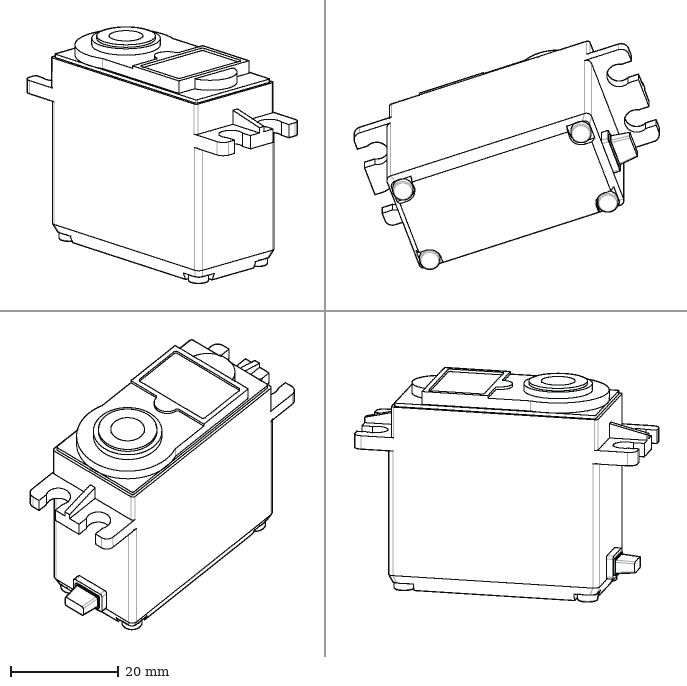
import cadquery as cq
import math

flange_length = 54.3
body_width = 20.0
total_height = 39.9

taper_top = 3.0
flange_bottom = 27.05
flange_top = 29.65
housing_top = 35.55
lid_top = 36.2
deck_top = 38.2
label_top = 38.65
collar_top = 39.4

case_length = 40.5
case_center_x = 0.25
case_corner_radius = 1.05
taper_inset = 1.25

housing_length = 39.75
housing_corner_radius = 0.55
lid_setback = 0.55
lid_corner_radius = 0.25

flange_corner_radius = 1.5
screw_hole_x = 24.0
screw_hole_y = 4.95
screw_hole_radius = 2.3
screw_slot_width = 4.0
rib_width = 1.2
rib_height_at_body = 2.75
rib_height_at_tip = 1.05

boss_x = -9.9
boss_radius = 9.55
deck_width = 18.05
deck_end_x = 14.1
collar_radius = 6.4
rim_radius = 5.5
bore_radius = 3.15
bore_depth = 2 * bore_radius
end_bump_x = 13.05
end_bump_radius = 5.05

label_start_x = 1.45
label_tab_x = 1.4
label_tab_radius = 2.45
label_tab_fillet = 0.45
label_border = 1.0
label_recess_corner_radius = 0.5

outlet_width = 7.05
outlet_bottom = 3.05
outlet_height = 4.45
outlet_corner_radius = 0.5
outlet_face_x = -21.3
lip_thickness = 0.25
lip_width = 5.75
lip_height = 3.15
plug_root_width = 5.25
plug_root_height = 2.6
plug_tip_width = 4.45
plug_tip_height = 2.15
plug_tip_x = -25.15
plug_corner_radius = 0.3

screw_spacing_x = 35.3
screw_spacing_y = 15.1
screw_head_radius = 1.9
screw_head_height = 1.4
screw_head_fillet = 0.2
screw_pocket_radius = 2.2


def rounded_block(length, width, bottom, top, corner_radius, center_x=0.0):
    """Upright block with rounded vertical edges."""
    block = cq.Workplane("XY", origin=(center_x, 0, bottom)).rect(length, width).extrude(top - bottom)
    return block.edges("|Z").fillet(corner_radius)


def cylinder(x, y, bottom, top, radius):
    return cq.Workplane("XY", origin=(x, y, bottom)).circle(radius).extrude(top - bottom)


def outlet_plane(x):
    """Plane facing -X, centred on the cable outlet."""
    outlet_center_z = outlet_bottom + outlet_height / 2
    return cq.Workplane(cq.Plane((x, 0, outlet_center_z), (0, -1, 0), (-1, 0, 0)))


def lower_case():
    case = rounded_block(case_length, body_width, taper_top, flange_bottom, case_corner_radius, case_center_x)
    bottom_length = case_length - 2 * taper_inset
    bottom_width = body_width - 2 * taper_inset
    bottom_outline = cq.Sketch().rect(bottom_length, bottom_width).vertices().fillet(case_corner_radius)
    top_outline = cq.Sketch().rect(case_length, body_width).vertices().fillet(case_corner_radius)
    taper = (
        cq.Workplane("XY", origin=(case_center_x, 0, 0))
        .placeSketch(bottom_outline, top_outline.moved(cq.Location(cq.Vector(0, 0, taper_top))))
        .loft()
    )
    return case.union(taper)


def upper_housing():
    housing = rounded_block(housing_length, body_width, flange_bottom, housing_top, housing_corner_radius)
    lid_length = housing_length - 2 * lid_setback
    lid_width = body_width - 2 * lid_setback
    lid = rounded_block(lid_length, lid_width, housing_top, lid_top, lid_corner_radius)
    return housing.union(lid)


def flange():
    plate = rounded_block(flange_length, body_width, flange_bottom, flange_top, flange_corner_radius)
    tip_x = flange_length / 2
    slot_length = tip_x - screw_hole_x
    for side_x in (-1, 1):
        for side_y in (-1, 1):
            hole_y = side_y * screw_hole_y
            hole = cylinder(side_x * screw_hole_x, hole_y, flange_bottom, flange_top, screw_hole_radius)
            slot_center_x = side_x * (screw_hole_x + slot_length / 2)
            slot = (
                cq.Workplane("XY", origin=(slot_center_x, hole_y, flange_bottom))
                .rect(slot_length, screw_slot_width)
                .extrude(flange_top - flange_bottom)
            )
            plate = plate.cut(hole).cut(slot)
    rib = (
        cq.Workplane("XZ")
        .moveTo(-tip_x, flange_top)
        .lineTo(-tip_x, flange_top + rib_height_at_tip)
        .lineTo(-housing_length / 2, flange_top + rib_height_at_body)
        .lineTo(housing_length / 2, flange_top + rib_height_at_body)
        .lineTo(tip_x, flange_top + rib_height_at_tip)
        .lineTo(tip_x, flange_top)
        .close()
        .extrude(rib_width / 2, both=True)
    )
    return plate.union(rib)


def deck():
    height = deck_top - lid_top
    slab = (
        cq.Workplane("XY", origin=((boss_x + deck_end_x) / 2, 0, lid_top))
        .rect(deck_end_x - boss_x, deck_width)
        .extrude(height)
    )
    boss = cylinder(boss_x, 0, lid_top, deck_top, boss_radius)
    end_bump = cylinder(end_bump_x, 0, lid_top, deck_top, end_bump_radius)
    collar = cylinder(boss_x, 0, deck_top, collar_top, collar_radius)
    rim = cylinder(boss_x, 0, collar_top, total_height, rim_radius)
    return slab.union(boss).union(end_bump).union(collar).union(rim)


def label_panel():
    height = label_top - deck_top
    label_length = deck_end_x - label_start_x
    label_center_x = (deck_end_x + label_start_x) / 2
    label_base = cq.Workplane("XY", origin=(label_center_x, 0, deck_top))
    panel = label_base.rect(label_length, deck_width).extrude(height)
    tab = cylinder(label_tab_x, 0, deck_top, label_top, label_tab_radius)
    tab_half_width = math.sqrt(label_tab_radius**2 - (label_start_x - label_tab_x) ** 2)
    search_margin = label_tab_fillet / 2
    corner_finder = cq.selectors.BoxSelector(
        (label_start_x - search_margin, -tab_half_width - search_margin, deck_top),
        (label_start_x + search_margin, tab_half_width + search_margin, label_top),
    )
    panel = panel.union(tab).edges("|Z").edges(corner_finder).fillet(label_tab_fillet)
    recess = rounded_block(
        label_length - 2 * label_border,
        deck_width - 2 * label_border,
        deck_top,
        label_top,
        label_recess_corner_radius,
        label_center_x,
    )
    return panel.cut(recess)


def cable_outlet():
    case_face_x = case_center_x - case_length / 2
    block = (
        outlet_plane(case_face_x)
        .rect(outlet_width, outlet_height)
        .extrude(case_face_x - outlet_face_x)
        .edges("|X")
        .fillet(outlet_corner_radius)
    )
    lip = outlet_plane(outlet_face_x).rect(lip_width, lip_height).extrude(lip_thickness)
    lip = lip.edges("|X").fillet(plug_corner_radius)
    plug_root_x = outlet_face_x - lip_thickness
    plug = (
        outlet_plane(plug_root_x)
        .rect(plug_root_width, plug_root_height)
        .workplane(offset=plug_root_x - plug_tip_x)
        .rect(plug_tip_width, plug_tip_height)
        .loft()
        .edges("not #X")
        .fillet(plug_corner_radius)
    )
    return block.union(lip).union(plug)


def add_bottom_screws(body):
    """Cut a pocket at each bottom corner and seat a screw head in it."""
    for side_x in (-1, 1):
        for side_y in (-1, 1):
            x = case_center_x + side_x * screw_spacing_x / 2
            y = side_y * screw_spacing_y / 2
            pocket = (
                cq.Workplane("XY")
                .moveTo(-screw_pocket_radius, 0)
                .radiusArc((0, -screw_pocket_radius), -screw_pocket_radius)
                .lineTo(screw_pocket_radius, -screw_pocket_radius)
                .lineTo(screw_pocket_radius, screw_pocket_radius)
                .lineTo(-screw_pocket_radius, screw_pocket_radius)
                .close()
                .extrude(screw_head_height)
            )
            if side_x < 0:
                pocket = pocket.mirror("YZ")
            if side_y < 0:
                pocket = pocket.mirror("XZ")
            pocket = pocket.translate((x, y, 0))
            head = cylinder(x, y, 0, screw_head_height, screw_head_radius)
            body = body.cut(pocket).union(head.faces("<Z").edges().fillet(screw_head_fillet))
    return body


servo = lower_case().union(upper_housing()).union(flange()).union(deck())
servo = servo.union(label_panel()).union(cable_outlet())
servo = servo.cut(cylinder(boss_x, 0, total_height - bore_depth, total_height, bore_radius))
result = add_bottom_screws(servo)